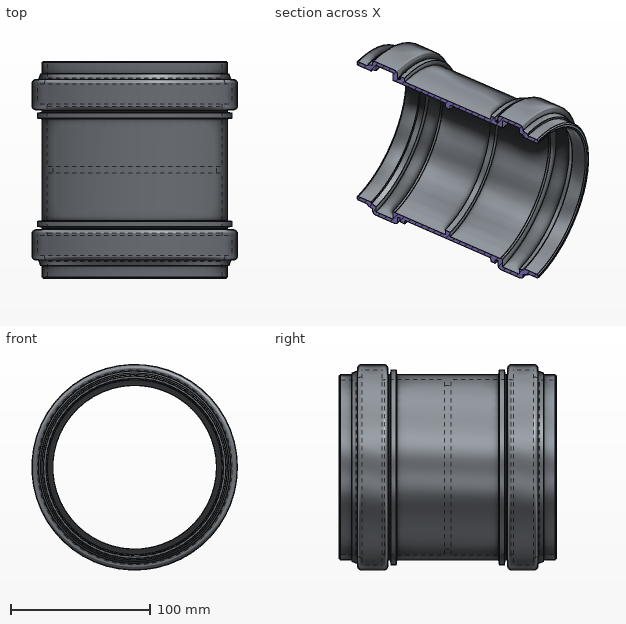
import cadquery as cq


length = 156.0
wall = 3.8
tube_diameter = 133.5
socket_diameter = 133.2
bead_diameter = 147.8
flange_diameter = 140.2
stop_bore_diameter = 117.6
stop_thickness = 4.5

cone_start = 9.3
bead_start = 13.2
bead_end = 34.9
socket_end = 35.7
flange_center = 39.1

rim_chamfer = 1.0
bead_fillet = 3.0
cone_start_radius = 67.8
cone_end_radius = 69.2
cone_face_slant = 0.4
flange_root_width = 4.6
flange_tip_width = 3.6
groove_side_wall = 3.3
groove_back_wall = 4.1
socket_lip = 1.8

half_length = length / 2
tube_radius = tube_diameter / 2
socket_radius = socket_diameter / 2
bead_radius = bead_diameter / 2
flange_radius = flange_diameter / 2
stop_radius = stop_bore_diameter / 2
tube_bore_radius = tube_radius - wall
socket_bore_radius = socket_radius - wall
groove_radius = bead_radius - wall
cone_groove_start = cone_start + groove_side_wall
groove_start = bead_start + groove_side_wall
groove_end = bead_end - groove_back_wall
socket_bore_end = groove_end + socket_lip


def both_ends(end_points):
    """Turn (radius, distance from end) points of one half into (radius, Y) points of both halves."""
    near_half = [(radius, distance - half_length) for radius, distance in end_points]
    far_half = [(radius, -y) for radius, y in reversed(near_half)]
    return near_half + far_half


def revolve_profile(points):
    """Revolve a closed (radius, Y) outline about the Y axis."""
    return cq.Workplane("XY").polyline(points).close().revolve(360, (0, 0, 0), (0, 1, 0))


def outer_body():
    """Solid outer shape with the chamfered rims, socket cones, beads and flanges."""
    body = revolve_profile(both_ends([
        (0, 0),
        (socket_radius - rim_chamfer, 0),
        (socket_radius, rim_chamfer),
        (socket_radius, cone_start - cone_face_slant),
        (cone_start_radius, cone_start),
        (cone_end_radius, bead_start),
        (bead_radius, bead_start),
        (bead_radius, bead_end),
        (socket_radius, bead_end),
        (socket_radius, socket_end),
        (tube_radius, socket_end),
        (tube_radius, flange_center - flange_root_width / 2),
        (flange_radius, flange_center - flange_tip_width / 2),
        (flange_radius, flange_center + flange_tip_width / 2),
        (tube_radius, flange_center + flange_root_width / 2),
    ]))
    bead_rims = body.edges(cq.selectors.RadiusNthSelector(-1))
    return bead_rims.fillet(bead_fillet)


def inner_cavity():
    """Cavity: sockets with seal grooves, tube bore and the pipe stop at the middle."""
    stop_face = half_length - stop_thickness / 2
    return revolve_profile(both_ends([
        (0, 0),
        (socket_bore_radius + rim_chamfer, 0),
        (socket_bore_radius, rim_chamfer),
        (socket_bore_radius, cone_groove_start - cone_face_slant),
        (cone_start_radius - wall, cone_groove_start),
        (cone_end_radius - wall, groove_start),
        (groove_radius, groove_start),
        (groove_radius, groove_end),
        (socket_bore_radius, groove_end),
        (socket_bore_radius, socket_bore_end),
        (tube_bore_radius, socket_bore_end),
        (tube_bore_radius, stop_face),
        (stop_radius, stop_face),
    ]))


result = outer_body().cut(inner_cavity())